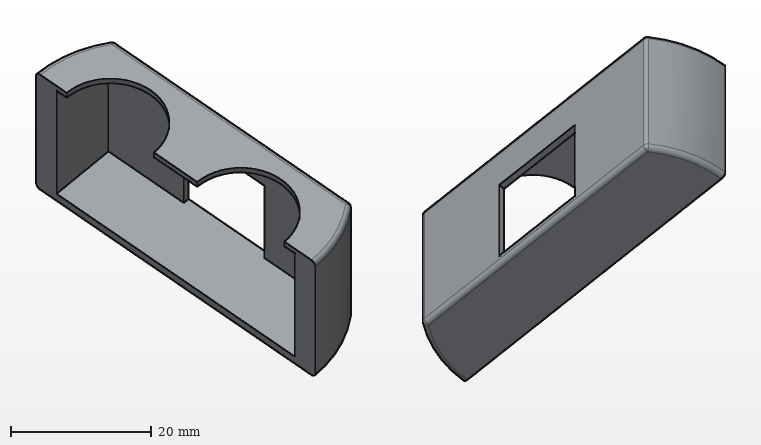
import cadquery as cq
import math

width = 54.0
depth = 12.0
height = 24.7
side_radius = 20.0
edge_radius = 0.8

side_wall = 4.0
floor = 1.5
roof = 1.0
back_wall = 1.0

window_width = 15.6
window_height = 15.5
window_offset = -0.65

cutout_radius = 8.4
cutout_spacing = 25.2


def side_inset(y):
    """Distance the curved side has moved inward at depth y."""
    return side_radius - math.sqrt(side_radius**2 - y**2)


def make_body():
    """Block with sides that leave the front squarely and curve inward to the back."""
    half_width = width / 2
    half_back = half_width - side_inset(depth)
    half_middle = half_width - side_inset(depth / 2)
    block = (
        cq.Workplane("XY")
        .moveTo(-half_width, 0)
        .lineTo(half_width, 0)
        .threePointArc((half_middle, depth / 2), (half_back, depth))
        .lineTo(-half_back, depth)
        .threePointArc((-half_middle, depth / 2), (-half_width, 0))
        .close()
        .extrude(height)
    )
    return block.edges("not(<Y)").fillet(edge_radius)


def box_from_front(box_width, box_depth, box_height, x_centre):
    """Box standing on the floor and running back from the front face."""
    return (
        cq.Workplane("XY", origin=(x_centre, 0, floor))
        .box(box_width, box_depth, box_height, centered=(True, False, False))
    )


def make_roof_cutouts():
    """Cylinders through the roof, one on each side of the middle."""
    return (
        cq.Workplane("XY", origin=(0, 0, height - roof))
        .pushPoints([(side * cutout_spacing / 2, 0) for side in (-1, 1)])
        .circle(cutout_radius)
        .extrude(roof)
    )


cavity = box_from_front(width - 2 * side_wall, depth - back_wall, height - floor - roof, 0)
window = box_from_front(window_width, depth, window_height, window_offset)

result = make_body().cut(cavity).cut(window).cut(make_roof_cutouts())